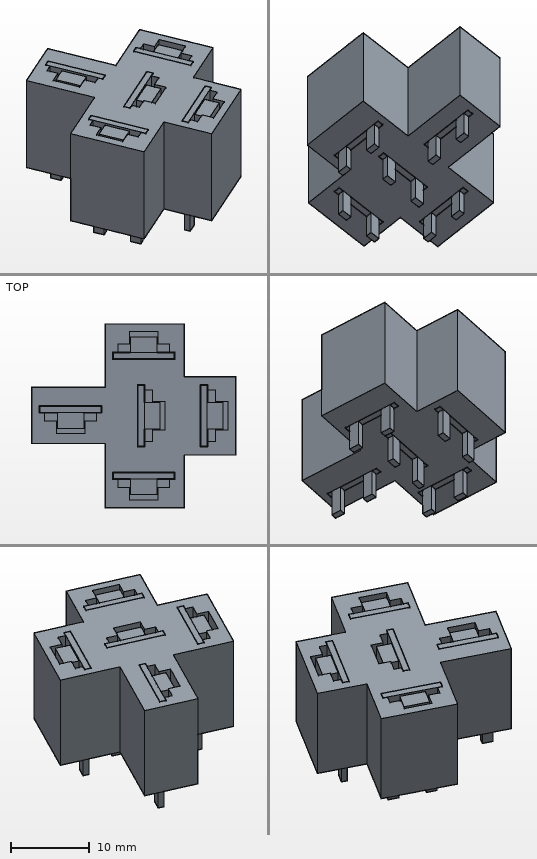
import cadquery as cq

overall_x = 26.0
overall_y = 23.4
housing_height = 14.0
bar_width = 10.1
left_arm_length = 9.35
left_arm_width = 7.2
left_arm_shift = 0.05
right_arm_width = 9.98
housing_left = -bar_width / 2 - left_arm_length
housing_right = housing_left + overall_x
right_arm_length = overall_x - left_arm_length - bar_width
left_arm_centre_x = housing_left + left_arm_length / 2
right_arm_centre_x = housing_right - right_arm_length / 2

blade_width = 7.8
blade_thickness = 0.8
block_width = 3.38
block_depth = 2.0
block_drop = 0.3
leg_width = 1.43
leg_spacing = 5.05
leg_length = 4.0

pocket_floor = 1.5
slot_clearance = 0.05
tab_pocket_width = 6.6
tab_pocket_depth = 1.01
spring_pocket_width = 3.61
spring_pocket_depth = 2.6
slot_width = blade_width + 2 * slot_clearance
slot_thickness = blade_thickness + 2 * slot_clearance
slot_half = slot_thickness / 2

wall = 1.01
cavity_reach = slot_half + spring_pocket_depth
bar_end_x = -0.13
bar_end_y = overall_y / 2 - wall - cavity_reach
left_arm_x = housing_left + wall + slot_width / 2
left_arm_y = 0.8
middle_x = -0.47
right_arm_x = housing_right - wall - cavity_reach
FACING_PLUS_Y = 0
FACING_PLUS_X = -90
FACING_MINUS_Y = 180
terminal_places = [
    (bar_end_x, bar_end_y, FACING_PLUS_Y),
    (bar_end_x, -bar_end_y, FACING_MINUS_Y),
    (left_arm_x, left_arm_y, FACING_MINUS_Y),
    (middle_x, 0, FACING_PLUS_X),
    (right_arm_x, 0, FACING_PLUS_X),
]


def box_spanning(width, y_start, y_end, z_start, z_end, x_centre=0.0):
    """Box centred on x_centre that spans the given Y and Z ranges."""
    size = (width, y_end - y_start, z_end - z_start)
    box = cq.Workplane("XY").box(*size, centered=(True, False, False))
    return box.translate((x_centre, y_start, z_start))


def make_terminal():
    """Blade through the full housing height, its spring block and its two legs."""
    half = blade_thickness / 2
    terminal = box_spanning(blade_width, -half, half, 0, housing_height)
    block_top = housing_height - block_drop
    terminal = terminal.union(box_spanning(block_width, half, half + block_depth, pocket_floor, block_top))
    for side in (-1, 1):
        leg = box_spanning(leg_width, -half, half, -leg_length, 0, side * leg_spacing / 2)
        terminal = terminal.union(leg)
    return terminal


def make_cavity():
    """Space cut from the housing for one terminal."""
    slot = box_spanning(slot_width, -slot_half, slot_half, 0, housing_height)
    tab_pocket = box_spanning(
        tab_pocket_width, 0, slot_half + tab_pocket_depth, pocket_floor, housing_height
    )
    spring_pocket = box_spanning(spring_pocket_width, 0, cavity_reach, pocket_floor, housing_height)
    return slot.union(tab_pocket).union(spring_pocket)


def put_in_place(shape, place):
    x, y, turn = place
    return shape.rotate((0, 0, 0), (0, 0, 1), turn).translate((x, y, 0))


def make_housing():
    bar = box_spanning(bar_width, -overall_y / 2, overall_y / 2, 0, housing_height)
    left_arm = box_spanning(
        left_arm_length, -left_arm_width / 2, left_arm_width / 2, 0, housing_height, left_arm_centre_x
    ).translate((0, left_arm_shift, 0))
    right_arm = box_spanning(
        right_arm_length, -right_arm_width / 2, right_arm_width / 2, 0, housing_height, right_arm_centre_x
    )
    body = bar.union(left_arm).union(right_arm)
    cavity = make_cavity()
    for place in terminal_places:
        body = body.cut(put_in_place(cavity, place))
    return body


housing = make_housing()
terminal = make_terminal()
terminals = [put_in_place(terminal, place).solids().val() for place in terminal_places]

result = cq.Compound.makeCompound([housing.solids().val(), *terminals])